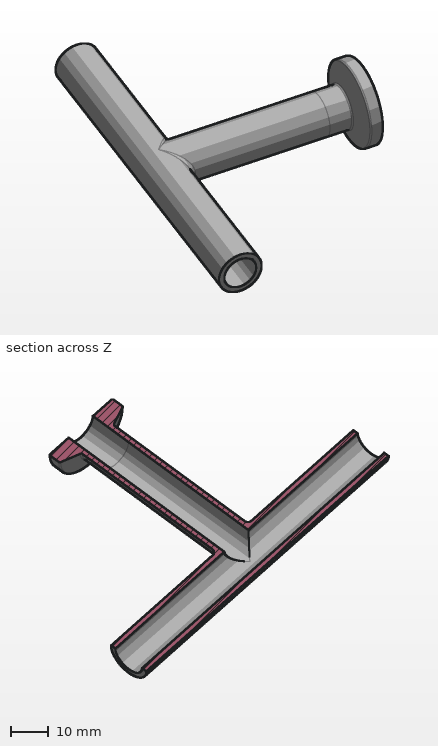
import cadquery as cq
import math

run_length = 95.25
pipe_diameter = 12.7
bore_diameter = 9.4
pipe_radius = pipe_diameter / 2
total_depth = 66.7
branch_length = total_depth - pipe_radius
weld_radius = 1.3

ferrule_length = 12.8
flange_diameter = 25.0
flange_radius = flange_diameter / 2
rim_width = 3.8
cone_angle = 20
cone_length = (flange_radius - pipe_radius) * math.tan(math.radians(cone_angle))
edge_fillet = 0.5


def cylinder_along_x(diameter):
    return cq.Workplane("YZ").circle(diameter / 2).extrude(run_length / 2, both=True)


def cylinder_along_y(diameter, length):
    return cq.Workplane("XZ").circle(diameter / 2).extrude(-length)


def make_tee():
    """Run and branch pipe, blended along their crossing curves and bored through."""
    branch_pipe_length = branch_length - ferrule_length
    run = cylinder_along_x(pipe_diameter)
    tee = run.union(cylinder_along_y(pipe_diameter, branch_pipe_length))
    crossing_zone = cq.selectors.BoxSelector(
        (-pipe_diameter, 0, -pipe_diameter),
        (pipe_diameter, pipe_diameter, pipe_diameter),
    )
    tee = tee.edges("not %LINE").edges(crossing_zone).fillet(weld_radius)
    tee = tee.cut(cylinder_along_x(bore_diameter))
    return tee.cut(cylinder_along_y(bore_diameter, branch_pipe_length))


def make_ferrule():
    """Neck and clamp flange with a conical back, revolved about the branch axis."""
    bore_radius = bore_diameter / 2
    seam = branch_length - ferrule_length
    rim_back = branch_length - rim_width
    profile = (
        cq.Workplane("XY")
        .moveTo(bore_radius, seam)
        .lineTo(pipe_radius, seam)
        .lineTo(pipe_radius, rim_back - cone_length)
        .lineTo(flange_radius, rim_back)
        .lineTo(flange_radius, branch_length)
        .lineTo(bore_radius, branch_length)
        .close()
    )
    ferrule = profile.revolve(360, (0, 0, 0), (0, 1, 0))
    cone_edges = ferrule.faces("%CONE").edges("%CIRCLE")
    rim_front_edge = ferrule.faces(">Y").edges(cq.selectors.RadiusNthSelector(-1))
    return cone_edges.add(rim_front_edge).fillet(edge_fillet)


result = make_tee().union(make_ferrule(), clean=False)